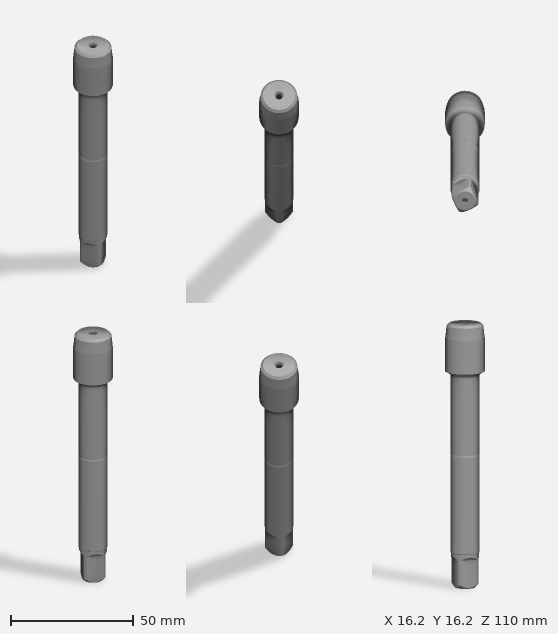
import cadquery as cq
import math


def cone_height(large_diameter, small_diameter, half_angle):
    """Axial height of a cone frustum with the given half angle in degrees."""
    return (large_diameter - small_diameter) / 2 / math.tan(math.radians(half_angle))


total_length = 110.0

head_diameter = 16.21
head_length = 20.0
lead_length = 6.0
lead_diameter = 15.1
tip_diameter = 13.1
tip_chamfer_height = 1.0

neck_diameter = 11.7
neck_cone_half_angle = 60
neck_cone_height = cone_height(head_diameter, neck_diameter, neck_cone_half_angle)
neck_fillet_radius = 1.0
neck_bottom_z = 55.6

shank_diameter = 12.0
shank_top_z = 55.0
collar_top_z = 14.4

collar_diameter = 11.52
collar_chamfer = (shank_diameter - collar_diameter) / 2
square_width = 9.0
square_length = 12.0
drive_end_diameter = 8.2
drive_chamfer = (collar_diameter - drive_end_diameter) / 2
run_out_height = (collar_diameter - square_width) / 2

bore_diameter = 2.5
countersink_diameter = 3.7
countersink_half_angle = 30
countersink_depth = cone_height(countersink_diameter, bore_diameter, countersink_half_angle)


def revolve_outline(outline):
    """Revolve a closed (radius, z) outline about the Z axis."""
    return cq.Workplane("XZ").polyline(outline).close().revolve(360, (0, 0), (0, 1))


def turned_body():
    """Revolved body: drive end, collar, shank, neck and head."""
    head_bottom_z = total_length - head_length
    neck_top_z = head_bottom_z - neck_cone_height
    steps = [
        (drive_end_diameter, 0),
        (collar_diameter, drive_chamfer),
        (collar_diameter, collar_top_z),
        (shank_diameter, collar_top_z + collar_chamfer),
        (shank_diameter, shank_top_z),
        (neck_diameter, neck_bottom_z),
        (neck_diameter, neck_top_z),
        (head_diameter, head_bottom_z),
        (head_diameter, total_length - lead_length),
        (lead_diameter, total_length - tip_chamfer_height),
        (tip_diameter, total_length),
    ]
    outline = [(0, 0)] + [(diameter / 2, z) for diameter, z in steps] + [(0, total_length)]
    body = revolve_outline(outline)
    neck_top_edge = body.edges(cq.NearestToPointSelector((0, 0, neck_top_z)))
    return neck_top_edge.fillet(neck_fillet_radius)


def flat_cutter(angle):
    """Prism removing one flat of the square, with a 45 degree run-out at its top."""
    flat_x = square_width / 2
    outer_x = flat_x + run_out_height
    profile = [
        (flat_x, 0),
        (outer_x, 0),
        (outer_x, square_length + run_out_height),
        (flat_x, square_length),
    ]
    prism = cq.Workplane("XZ").polyline(profile).close().extrude(collar_diameter / 2, both=True)
    return prism.rotate((0, 0, 0), (0, 0, 1), angle)


def cut_square(body):
    """Cut the four flats of the square drive."""
    for angle in (0, 90, 180, 270):
        body = body.cut(flat_cutter(angle))
    return body


def drill_bore(body):
    """Drill the countersunk bore through the whole length."""
    profile = [
        (0, 0),
        (bore_diameter / 2, 0),
        (bore_diameter / 2, total_length - countersink_depth),
        (countersink_diameter / 2, total_length),
        (0, total_length),
    ]
    return body.cut(revolve_outline(profile))


result = drill_bore(cut_square(turned_body()))